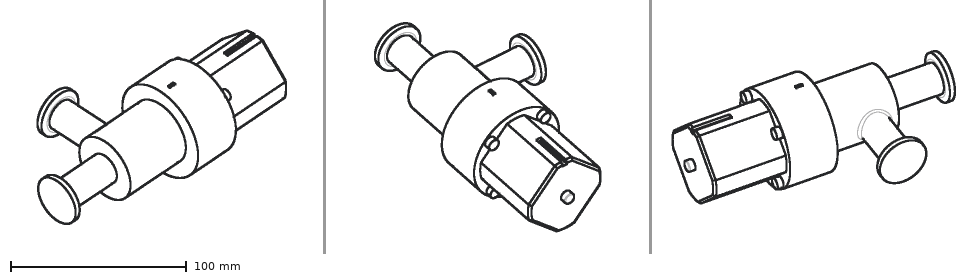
import cadquery as cq
import math

INLET_FACE = -82.5
BODY_START = INLET_FACE + 39.0
COLLAR_START = INLET_FACE + 83.9
HOUSING_START = INLET_FACE + 114.6
HOUSING_END = INLET_FACE + 161.3
BUTTON_END = 82.5

BODY_DIAMETER = 41.0
COLLAR_DIAMETER = 60.6
HOUSING_DIAMETER = 51.8
HOUSING_CHAMFER = 1.5
FLAT_DISTANCE = 22.1
BUTTON_DIAMETER = 6.8
BUTTON_FILLET = 0.5

TUBE_DIAMETER = 19.2
SHOULDER_DIAMETER = 23.0
RIM_DIAMETER = 30.0
RIM_THICKNESS = 3.3
SHOULDER_END = 4.3
SIDE_PORT_LENGTH = 84.9 - COLLAR_DIAMETER / 2
SIDE_PORT_Y = INLET_FACE + 54.7
JOINT_FILLET = 1.7

ACTUATOR_TWIST = 1.6
SCREW_CIRCLE_RADIUS = 26.1
SCREW_DIAMETER = 7.0
SCREW_HEIGHT = 3.8
SLOT_WIDTH = 3.1
SLOT_LENGTH = 25.0
SLOT_DEPTH = 2.5
WINDOW_WIDTH = 1.7
WINDOW_LENGTH = 4.3
WINDOW_DEPTH = 1.7
WINDOW_START = COLLAR_START + 6.3


def cylinder_y(diameter, start, end, x=0, z=0):
    """Cylinder parallel to Y between two stations."""
    axis = cq.Vector(0, 1, 0)
    return cq.Workplane(cq.Solid.makeCylinder(diameter / 2, end - start, cq.Vector(x, start, z), axis))


def flanged_port(length):
    """Port whose outer face lies on the XZ plane, extending along +Y."""
    profile = [
        (0, 0),
        (RIM_DIAMETER / 2, 0),
        (RIM_DIAMETER / 2, RIM_THICKNESS),
        (SHOULDER_DIAMETER / 2, SHOULDER_END),
        (TUBE_DIAMETER / 2, SHOULDER_END),
        (TUBE_DIAMETER / 2, length),
        (0, length),
    ]
    return cq.Workplane("XY").polyline(profile).close().revolve(360, (0, 0), (0, 1))


def twisted(shape, angle=0):
    """Rotate about the main axis, including the actuator twist."""
    return shape.rotate((0, 0, 0), (0, 1, 0), angle + ACTUATOR_TWIST)


def top_pocket(width, start, end, depth, diameter):
    """Cutter sunk to a depth below the top of a cylinder of the given diameter."""
    pocket = cq.Workplane("XY").box(width, end - start, 2 * depth)
    return twisted(pocket.translate((0, (start + end) / 2, diameter / 2)))


body = cylinder_y(BODY_DIAMETER, BODY_START, COLLAR_START)
side_port = flanged_port(SIDE_PORT_LENGTH).rotate((0, 0, 0), (0, 0, 1), -90)
body = body.union(side_port.translate((-SIDE_PORT_LENGTH, SIDE_PORT_Y, 0)))
joint_selector = cq.selectors.BoxSelector(
    (-BODY_DIAMETER / 2 - JOINT_FILLET, SIDE_PORT_Y - TUBE_DIAMETER, -TUBE_DIAMETER),
    (-BODY_DIAMETER / 4, SIDE_PORT_Y + TUBE_DIAMETER, TUBE_DIAMETER),
)
body = body.edges(joint_selector).fillet(JOINT_FILLET)

inlet = flanged_port(BODY_START - INLET_FACE).translate((0, INLET_FACE, 0))

collar = cylinder_y(COLLAR_DIAMETER, COLLAR_START, HOUSING_START)
collar = collar.cut(
    top_pocket(WINDOW_WIDTH, WINDOW_START, WINDOW_START + WINDOW_LENGTH, WINDOW_DEPTH, COLLAR_DIAMETER)
)

housing = cylinder_y(HOUSING_DIAMETER, HOUSING_START, HOUSING_END)
flats = cq.Workplane("XY").box(2 * FLAT_DISTANCE, HOUSING_END - HOUSING_START, 2 * FLAT_DISTANCE)
flats = flats.translate((0, (HOUSING_START + HOUSING_END) / 2, 0))
housing = housing.intersect(twisted(flats, 45)).faces(">Y").chamfer(HOUSING_CHAMFER)
housing = housing.cut(
    top_pocket(SLOT_WIDTH, HOUSING_END - SLOT_LENGTH, HOUSING_END, SLOT_DEPTH, HOUSING_DIAMETER)
)
button = cylinder_y(BUTTON_DIAMETER, HOUSING_END, BUTTON_END).faces(">Y").fillet(BUTTON_FILLET)

result = body.union(inlet).union(collar).union(housing).union(button)

for quadrant in range(4):
    angle = math.radians(45 + 90 * quadrant - ACTUATOR_TWIST)
    screw_x = SCREW_CIRCLE_RADIUS * math.cos(angle)
    screw_z = SCREW_CIRCLE_RADIUS * math.sin(angle)
    screw = cylinder_y(SCREW_DIAMETER, HOUSING_START, HOUSING_START + SCREW_HEIGHT, screw_x, screw_z)
    result = result.union(screw)